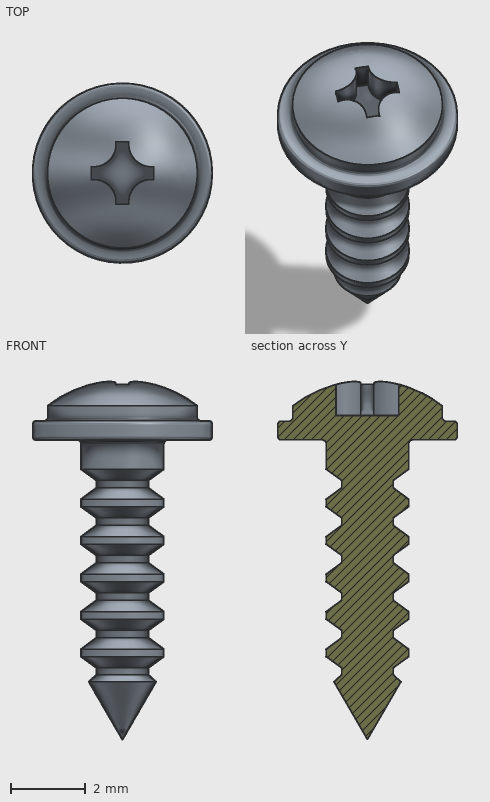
import cadquery as cq
import math

overall_height = 9.56
dome_radius = 3.26
head_radius = 2.0
flange_radius = 2.4
flange_top_z = 8.51
flange_bottom_z = 7.99
edge_fillet = 0.1

shank_radius = 1.11
root_radius = 0.7
shank_end_z = 7.22
thread_count = 5
flank_height = 0.3
land_height = 0.2
threaded_length = 5.0
thread_pitch = threaded_length / thread_count

tip_radius = 0.9
tip_base_z = 1.55
tip_root_end_z = 1.73

recess_half_length = 0.83
recess_half_width = 0.17
recess_corner_radius = 0.58
recess_floor_z = 8.65

recess_corner_center = recess_half_width + recess_corner_radius
recess_inner_radius = recess_corner_center * math.sqrt(2) - recess_corner_radius
dome_center_z = overall_height - math.sqrt(dome_radius**2 - recess_inner_radius**2)
dome_apex_z = dome_center_z + dome_radius
dome_base_z = dome_center_z + math.sqrt(dome_radius**2 - head_radius**2)


def fillet_arc(profile, center, radius, middle_degrees, end):
    """Add a quarter arc to end, passing through the given middle angle."""
    angle = math.radians(middle_degrees)
    middle = (center[0] + radius * math.cos(angle), center[1] + radius * math.sin(angle))
    return profile.threePointArc(middle, end)


def screw_body():
    """Revolve the half profile, drawn from the dome apex down to the tip."""
    half_angle = math.asin(head_radius / dome_radius) / 2
    dome_middle = (
        dome_radius * math.sin(half_angle),
        dome_center_z + dome_radius * math.cos(half_angle),
    )
    fillet = edge_fillet
    profile = cq.Workplane("XZ").moveTo(0, dome_apex_z)
    profile = profile.threePointArc(dome_middle, (head_radius, dome_base_z))

    blend_x = head_radius + fillet
    blend_z = flange_top_z + fillet
    profile = profile.lineTo(head_radius, blend_z)
    profile = fillet_arc(profile, (blend_x, blend_z), fillet, 225, (blend_x, flange_top_z))

    rim_x = flange_radius - fillet
    rim_top_z = flange_top_z - fillet
    rim_bottom_z = flange_bottom_z + fillet
    profile = profile.lineTo(rim_x, flange_top_z)
    profile = fillet_arc(profile, (rim_x, rim_top_z), fillet, 45, (flange_radius, rim_top_z))
    profile = profile.lineTo(flange_radius, rim_bottom_z)
    profile = fillet_arc(profile, (rim_x, rim_bottom_z), fillet, -45, (rim_x, flange_bottom_z))

    neck_x = shank_radius + fillet
    neck_z = flange_bottom_z - fillet
    profile = profile.lineTo(neck_x, flange_bottom_z)
    profile = fillet_arc(profile, (neck_x, neck_z), fillet, 135, (shank_radius, neck_z))
    profile = profile.lineTo(shank_radius, shank_end_z)

    for index in range(thread_count):
        groove_top_z = shank_end_z - index * thread_pitch
        root_top_z = groove_top_z - flank_height
        root_bottom_z = root_top_z - land_height
        crest_bottom_z = groove_top_z - thread_pitch
        profile = profile.lineTo(root_radius, root_top_z)
        profile = profile.lineTo(root_radius, root_bottom_z)
        profile = profile.lineTo(shank_radius, crest_bottom_z + land_height)
        profile = profile.lineTo(shank_radius, crest_bottom_z)

    last_root_z = shank_end_z - thread_count * thread_pitch - flank_height
    profile = profile.lineTo(root_radius, last_root_z)
    profile = profile.lineTo(root_radius, tip_root_end_z)
    profile = profile.lineTo(tip_radius, tip_base_z)
    profile = profile.lineTo(0, 0).close()
    return profile.revolve(360, (0, 0, 0), (0, 1, 0))


def cross_recess():
    """Square blank less four rounded corner blocks leaves a cross with curved inner corners."""
    depth = dome_apex_z - recess_floor_z
    plane = cq.Workplane("XY").workplane(offset=recess_floor_z)
    cross = plane.rect(2 * recess_half_length, 2 * recess_half_length).extrude(depth)
    block_size = recess_half_length - recess_half_width
    block_center = (recess_half_length + recess_half_width) / 2
    for side_x in (-1, 1):
        for side_y in (-1, 1):
            block = plane.center(side_x * block_center, side_y * block_center)
            block = block.rect(block_size, block_size).extrude(depth)
            inner_edge = cq.selectors.NearestToPointSelector(
                (side_x * recess_half_width, side_y * recess_half_width, recess_floor_z + depth / 2)
            )
            cross = cross.cut(block.edges("|Z").edges(inner_edge).fillet(recess_corner_radius))
    return cross


result = screw_body().cut(cross_recess())